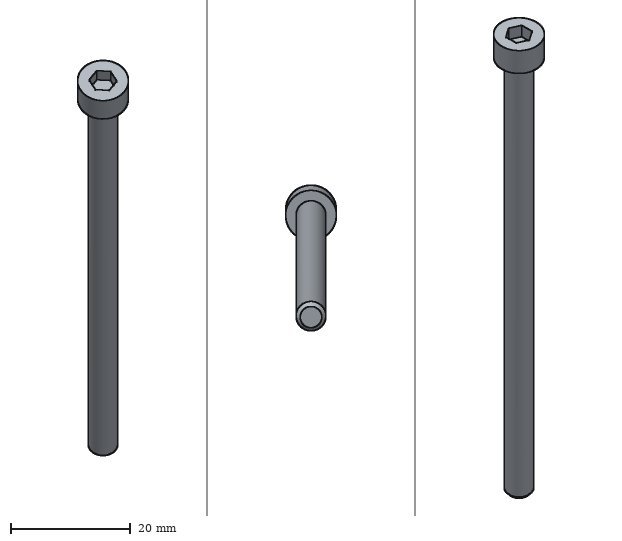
import cadquery as cq
import math

total_length = 100.0
head_diameter = 8.5
shank_diameter = 5.0
head_height = shank_diameter
shank_length = total_length - head_height

tip_diameter = 3.6
tip_height = 0.9

socket_across_flats = 4.0
socket_depth = 2.5


def make_head():
    head = cq.Workplane("XY").circle(head_diameter / 2).extrude(head_height)
    socket_across_corners = socket_across_flats / math.cos(math.pi / 6)
    return (
        head.faces(">Z")
        .workplane()
        .polygon(6, socket_across_corners)
        .cutBlind(-socket_depth)
    )


def make_shank():
    """Revolve the shank and its conical tip."""
    shank_radius = shank_diameter / 2
    outline = [
        (0, 0),
        (shank_radius, 0),
        (shank_radius, tip_height - shank_length),
        (tip_diameter / 2, -shank_length),
        (0, -shank_length),
    ]
    return cq.Workplane("XZ").polyline(outline).close().revolve(360, (0, 0), (0, 1))


result = make_head().union(make_shank())